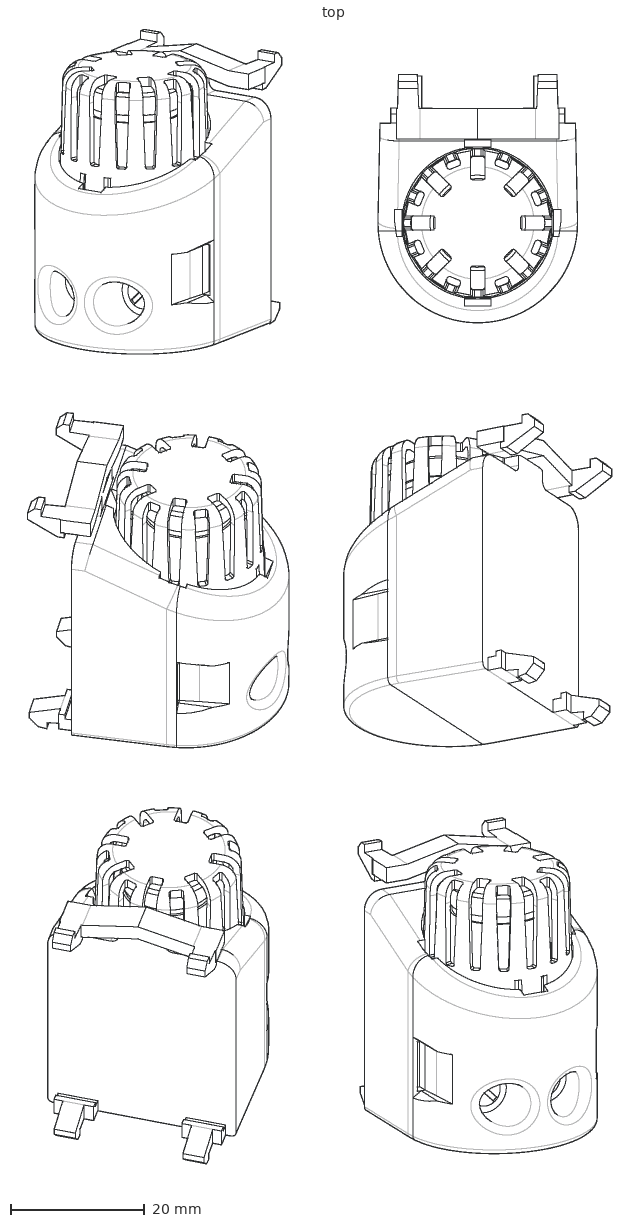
import cadquery as cq
import math


FRONT_RADIUS = 14.95
REAR_Y = 14.95
SIDE_DRAFT = 1.2
SEAM_Y = -1.2
BOTTOM_REAR_Z = 1.35
BOTTOM_FRONT_Z = 2.15
BOTTOM_ROUND = 0.85
RIM_REAR_Z = 36.3
CREASE_Y = 12.25
TOP_ANGLE = 21.7
TOP_ROUND = 2.9

REACH = 42.85

CAP_TOP_Z = 42.85
CAP_BOTTOM_Z = 21.42
CAP_SKIRT_RADIUS = 11.35
CAP_TOP_RADIUS = 10.75
CAP_ROUND = 2.4
CAP_WALL = 1.05
CAP_ROOF = 1.4
CAGE_BOTTOM_Z = 29.9
SLOT_COUNT = 16
LONG_SLOT_INNER = 6.43
SHORT_SLOT_INNER = 9.0
SLOT_BOTTOM_WIDTH = 1.55
SLOT_TOP_WIDTH = 2.15
SLOT_STRAIGHT_Z = 39.42
SLOT_CORNER = 0.25
TONGUE_WIDTH = 3.35
TONGUE_SLIT = 1.03
TONGUE_TOP_Z = 28.35

NOTCH_WIDTH = 4.03
NOTCH_RADIUS = 12.43
NOTCH_DEPTH = 3.0

SENSOR_RADIUS = 7.15
SENSOR_TOP_Z = 40.5
SENSOR_CHAMFER = 0.5
GROOVE_BOTTOM_Z = 36.0
GROOVE_TOP_Z = 37.15
GROOVE_DEPTH = 0.35

SCREW_SLOT_ANGLE = 45
SCREW_X = 5.05
SCREW_Z = 9.73
SCREW_RADIUS = 2.4
SCREW_LENGTH = 3.43
SCREW_FACE_Y = -6.0
SCREW_SLOT_WIDTH = 0.75
SCREW_SLOT_DEPTH = 0.43
TERMINAL_RADIUS = 3.43
ACCESS_MOUTH_ROUND = 1.03

WINDOW_BOTTOM_Z = 9.65
WINDOW_TOP_Z = 17.5
WINDOW_FLARE = 0.95
WINDOW_FLARE_X = 13.5
WINDOW_FRONT_X = 12.13
WINDOW_FRONT_Y = -8.83
WINDOW_BEND_X = 12.5
WINDOW_BEND_Y = -4.2
POCKET_INNER_X = 12.85
POCKET_OUTER_X = 14.15
POCKET_END_Y = 0.5

BAR_FRONT_Y = 12.55
BAR_REAR_Y = 17.15
BAR_HALF = 12.15
BAR_FLAT_X = 8.6
BAR_END_TOP_Z = 40.5
BAR_APEX_TOP_Z = 42.3
BAR_HEIGHT = 2.45
STEM_HALF = 3.65
STEM_ROUND = 1.2
HOOK_TIP_INNER_X = 9.05
HOOK_TIP_OUTER_X = 11.85
HOOK_TIP_Y = 22.25
HOOK_TIP_LOW_Z = 39.55
HOOK_TIP_HIGH_Z = 40.75
HOOK_CREST_Z = 41.8
HOOK_CREST_FRONT_Y = 20.15
HOOK_CREST_REAR_Y = 21.15
HOOK_HEEL_Z = 37.05
HOOK_HEEL_FRONT_Y = 16.6
HOOK_HEEL_REAR_Y = 17.6

FOOT_INNER_X = 8.35
FOOT_OUTER_X = 11.65
FOOT_BLOCK_INNER_X = 6.85
FOOT_BLOCK_OUTER_X = 13.03
FOOT_BLOCK_Y = 17.23
FOOT_BLOCK_BOTTOM_Z = 1.35
FOOT_STEP_Y = 16.3
FOOT_STEP_Z = 3.43
FOOT_LIP_Z = 4.2
FOOT_CATCH_Y = 19.33
FOOT_CATCH_TOP_Z = 1.15
FOOT_TOE_Y = 20.65
FOOT_TOE_Z = 0.2
FOOT_TIP_Y = 22.02
FOOT_TIP_LOW_Z = 1.65
FOOT_TIP_HIGH_Z = 2.7


def rim_z(y):
    """Height of the sloped top at a place along Y."""
    return RIM_REAR_Z - (CREASE_Y - y) * math.tan(math.radians(TOP_ANGLE))


def cylinder(radius, bottom, top):
    return cq.Workplane("XY").workplane(offset=bottom).circle(radius).extrude(top - bottom)


def side_profile(points, x_start, x_end):
    """Extrude an outline of (Y, Z) points along X."""
    return cq.Workplane("YZ").workplane(offset=x_start).polyline(points).close().extrude(x_end - x_start)


def both_sides(shape):
    return shape.union(shape.mirror("YZ"))



def housing_blank():
    """Outside of base and cover together, before it is divided at the seam."""
    draft = math.radians(SIDE_DRAFT)
    tangent_x = FRONT_RADIUS * math.cos(draft)
    tangent_y = FRONT_RADIUS * math.sin(draft)
    rear_x = (FRONT_RADIUS - REAR_Y * math.sin(draft)) / math.cos(draft)
    plan = (
        cq.Workplane("XY")
        .moveTo(-rear_x, REAR_Y)
        .lineTo(-tangent_x, tangent_y)
        .threePointArc((0, -FRONT_RADIUS), (tangent_x, tangent_y))
        .lineTo(rear_x, REAR_Y)
        .close()
        .extrude(CAP_TOP_Z)
    )
    profile = [
        (REAR_Y, BOTTOM_REAR_Z),
        (REAR_Y, RIM_REAR_Z),
        (CREASE_Y, RIM_REAR_Z),
        (-FRONT_RADIUS, rim_z(-FRONT_RADIUS)),
        (-FRONT_RADIUS, BOTTOM_FRONT_Z),
    ]
    blank = plan.intersect(side_profile(profile, -FRONT_RADIUS, FRONT_RADIUS))
    above_half = cq.selectors.BoxSelector((-REACH, -REACH, CAP_TOP_Z / 2), (REACH, REACH, CAP_TOP_Z))
    blank = blank.faces(above_half).edges("not |X").fillet(TOP_ROUND)
    return blank.faces("<Z").edges("not |X").fillet(BOTTOM_ROUND)


def cap_bore():
    """Round hole for the cap, with four notches that have a sloping outer wall."""
    bore = cylinder(CAP_SKIRT_RADIUS, CAP_BOTTOM_Z, CAP_TOP_Z)
    for angle in range(0, 360, 90):
        lip_z = rim_z(NOTCH_RADIUS * math.sin(math.radians(angle)))
        outline = [
            (0, lip_z - NOTCH_DEPTH),
            (CAP_SKIRT_RADIUS, lip_z - NOTCH_DEPTH),
            (NOTCH_RADIUS, lip_z),
            (NOTCH_RADIUS, CAP_TOP_Z),
            (0, CAP_TOP_Z),
        ]
        notch = cq.Workplane("XZ").polyline(outline).close().extrude(NOTCH_WIDTH / 2, both=True)
        bore = bore.union(notch.rotate((0, 0, 0), (0, 0, 1), angle))
    return bore


def half_space(y_start, y_end):
    """Wide block between two places along Y."""
    return (
        cq.Workplane("XY")
        .box(2 * REACH, y_end - y_start, 2 * REACH, centered=(True, False, True))
        .translate((0, y_start, 0))
    )



def window_cut():
    """Side window at -X: its walls flare outwards and its floor bends once."""
    section = [
        (-WINDOW_FRONT_X, WINDOW_BOTTOM_Z),
        (-WINDOW_FLARE_X, WINDOW_BOTTOM_Z),
        (-FRONT_RADIUS, WINDOW_BOTTOM_Z - WINDOW_FLARE),
        (-FRONT_RADIUS, WINDOW_TOP_Z + WINDOW_FLARE),
        (-WINDOW_FLARE_X, WINDOW_TOP_Z),
        (-WINDOW_FRONT_X, WINDOW_TOP_Z),
    ]
    floor = [
        (-FRONT_RADIUS, SEAM_Y),
        (-POCKET_INNER_X, SEAM_Y),
        (-WINDOW_BEND_X, WINDOW_BEND_Y),
        (-WINDOW_FRONT_X, WINDOW_FRONT_Y),
        (-FRONT_RADIUS, WINDOW_FRONT_Y),
    ]
    walls = cq.Workplane("XZ").polyline(section).close().extrude(FRONT_RADIUS)
    return walls.intersect(cq.Workplane("XY").polyline(floor).close().extrude(CAP_TOP_Z))


def access_bore(side):
    """Hole through which one screw terminal is reached."""
    depth = SCREW_FACE_Y + SCREW_LENGTH + FRONT_RADIUS
    return (
        cq.Workplane("XZ", origin=(side * SCREW_X, -FRONT_RADIUS, SCREW_Z))
        .circle(TERMINAL_RADIUS)
        .extrude(-depth)
    )


def make_cover(blank):
    cover = blank.intersect(half_space(-REACH, SEAM_Y))
    for side in (-1, 1):
        cover = cover.cut(access_bore(side))
    mouths = cq.selectors.BoxSelector(
        (-REACH, -REACH, 0), (REACH, SCREW_FACE_Y, 2 * SCREW_Z), boundingbox=True
    )
    cover = cover.edges(mouths).fillet(ACCESS_MOUTH_ROUND)
    return cover.cut(cap_bore()).cut(both_sides(window_cut()))



def window_pocket():
    """Slot in the seam face of the base that carries on the window floor at -X."""
    return (
        cq.Workplane("XY")
        .box(
            POCKET_OUTER_X - POCKET_INNER_X,
            POCKET_END_Y - SEAM_Y,
            WINDOW_TOP_Z - WINDOW_BOTTOM_Z,
            centered=False,
        )
        .translate((-POCKET_OUTER_X, SEAM_Y, WINDOW_BOTTOM_Z))
    )


def hanger_bar():
    """Chevron bar above the rear edge, carried by a stem with flared sides."""
    upper = [
        (-BAR_HALF, BAR_END_TOP_Z),
        (-BAR_FLAT_X, BAR_END_TOP_Z),
        (0, BAR_APEX_TOP_Z),
        (BAR_FLAT_X, BAR_END_TOP_Z),
        (BAR_HALF, BAR_END_TOP_Z),
    ]
    lower = [(x, z - BAR_HEIGHT) for x, z in reversed(upper)]
    bar = (
        cq.Workplane("XZ", origin=(0, BAR_REAR_Y, 0))
        .polyline(upper + lower)
        .close()
        .extrude(BAR_REAR_Y - BAR_FRONT_Y)
    )
    flare_end = STEM_HALF + STEM_ROUND
    stem = (
        cq.Workplane("XZ", origin=(0, REAR_Y, 0))
        .moveTo(-flare_end, RIM_REAR_Z)
        .radiusArc((-STEM_HALF, RIM_REAR_Z + STEM_ROUND), -STEM_ROUND)
        .lineTo(-STEM_HALF, BAR_END_TOP_Z - BAR_HEIGHT / 2)
        .lineTo(STEM_HALF, BAR_END_TOP_Z - BAR_HEIGHT / 2)
        .lineTo(STEM_HALF, RIM_REAR_Z + STEM_ROUND)
        .radiusArc((flare_end, RIM_REAR_Z), -STEM_ROUND)
        .close()
        .extrude(REAR_Y - BAR_FRONT_Y)
    )
    return bar.union(stem)


def upper_hook():
    """Hook at -X behind the bar, narrowing towards its tip."""
    outline = [
        (BAR_FRONT_Y, BAR_END_TOP_Z),
        (HOOK_CREST_FRONT_Y, BAR_END_TOP_Z),
        (HOOK_CREST_FRONT_Y, HOOK_CREST_Z),
        (HOOK_CREST_REAR_Y, HOOK_CREST_Z),
        (HOOK_TIP_Y, HOOK_TIP_HIGH_Z),
        (HOOK_TIP_Y, HOOK_TIP_LOW_Z),
        (HOOK_HEEL_REAR_Y, HOOK_HEEL_Z),
        (HOOK_HEEL_FRONT_Y, HOOK_HEEL_Z),
        (HOOK_HEEL_FRONT_Y, BAR_END_TOP_Z - BAR_HEIGHT),
        (BAR_FRONT_Y, BAR_END_TOP_Z - BAR_HEIGHT),
    ]
    plan = [
        (-BAR_HALF, BAR_FRONT_Y),
        (-BAR_FLAT_X, BAR_FRONT_Y),
        (-HOOK_TIP_INNER_X, HOOK_TIP_Y),
        (-HOOK_TIP_OUTER_X, HOOK_TIP_Y),
    ]
    arm = side_profile(outline, -BAR_HALF, 0)
    return arm.intersect(cq.Workplane("XY").polyline(plan).close().extrude(CAP_TOP_Z))


def foot():
    """Foot at -X: a wide block on the rear face and a narrow hook behind it."""
    block = [
        (REAR_Y, BOTTOM_REAR_Z),
        (FOOT_BLOCK_Y, FOOT_BLOCK_BOTTOM_Z),
        (FOOT_BLOCK_Y, FOOT_LIP_Z),
        (FOOT_STEP_Y, FOOT_LIP_Z),
        (FOOT_STEP_Y, FOOT_STEP_Z),
        (REAR_Y, FOOT_STEP_Z),
    ]
    hook = [
        (FOOT_BLOCK_Y, FOOT_BLOCK_BOTTOM_Z),
        (FOOT_CATCH_Y, FOOT_CATCH_TOP_Z),
        (FOOT_CATCH_Y, 0),
        (FOOT_TOE_Y, FOOT_TOE_Z),
        (FOOT_TIP_Y, FOOT_TIP_LOW_Z),
        (FOOT_TIP_Y, FOOT_TIP_HIGH_Z),
        (FOOT_BLOCK_Y, FOOT_LIP_Z),
    ]
    wide = side_profile(block, -FOOT_BLOCK_OUTER_X, -FOOT_BLOCK_INNER_X)
    return wide.union(side_profile(hook, -FOOT_OUTER_X, -FOOT_INNER_X))


def make_base(blank):
    base = blank.intersect(half_space(SEAM_Y, REACH))
    base = base.cut(cap_bore()).cut(both_sides(window_pocket()))
    return base.union(hanger_bar()).union(both_sides(upper_hook())).union(both_sides(foot()))



def vent_slot(inner_radius):
    """Cutter along +X: narrow at the bottom, with corners broken at the bottom and inner end."""
    low = SLOT_BOTTOM_WIDTH / 2
    high = SLOT_TOP_WIDTH / 2
    outline = [
        (-low + SLOT_CORNER, CAGE_BOTTOM_Z),
        (low - SLOT_CORNER, CAGE_BOTTOM_Z),
        (low, CAGE_BOTTOM_Z + SLOT_CORNER),
        (high, SLOT_STRAIGHT_Z),
        (high, CAP_TOP_Z),
        (-high, CAP_TOP_Z),
        (-high, SLOT_STRAIGHT_Z),
        (-low, CAGE_BOTTOM_Z + SLOT_CORNER),
    ]
    cutter = (
        cq.Workplane("YZ", origin=(inner_radius, 0, 0))
        .polyline(outline)
        .close()
        .extrude(CAP_SKIRT_RADIUS)
    )
    return cutter.faces("<X").edges("|Z").chamfer(SLOT_CORNER)


def make_cap():
    shell = (
        cq.Workplane("XZ")
        .moveTo(0, CAP_BOTTOM_Z)
        .lineTo(CAP_SKIRT_RADIUS, CAP_BOTTOM_Z)
        .lineTo(CAP_TOP_RADIUS, CAP_TOP_Z)
        .lineTo(0, CAP_TOP_Z)
        .close()
        .revolve(360, (0, 0), (0, 1))
        .edges(">Z")
        .fillet(CAP_ROUND)
    )
    inside = (
        cq.Workplane("XZ")
        .moveTo(0, CAP_BOTTOM_Z)
        .lineTo(CAP_SKIRT_RADIUS - CAP_WALL, CAP_BOTTOM_Z)
        .lineTo(CAP_TOP_RADIUS - CAP_WALL, CAP_TOP_Z - CAP_ROOF)
        .lineTo(0, CAP_TOP_Z - CAP_ROOF)
        .close()
        .revolve(360, (0, 0), (0, 1))
        .edges(">Z")
        .fillet(CAP_ROUND - CAP_WALL)
    )
    cap = shell.cut(inside)
    for index in range(SLOT_COUNT):
        inner_radius = SHORT_SLOT_INNER if index % 2 else LONG_SLOT_INNER
        slot = vent_slot(inner_radius)
        cap = cap.cut(slot.rotate((0, 0, 0), (0, 0, 1), index * 360 / SLOT_COUNT))
    slit = (
        cq.Workplane("XY", origin=(0, 0, CAP_BOTTOM_Z))
        .pushPoints([(CAP_SKIRT_RADIUS, side * (TONGUE_WIDTH + TONGUE_SLIT) / 2) for side in (-1, 1)])
        .rect(3 * CAP_WALL, TONGUE_SLIT)
        .extrude(TONGUE_TOP_Z - CAP_BOTTOM_Z)
    )
    for angle in range(0, 360, 90):
        cap = cap.cut(slit.rotate((0, 0, 0), (0, 0, 1), angle))
    return cap



def make_sensor():
    """Round block on the floor of the cap bore, with one groove around it."""
    sensor = cylinder(SENSOR_RADIUS, CAP_BOTTOM_Z, SENSOR_TOP_Z).faces(">Z").chamfer(SENSOR_CHAMFER)
    groove = cylinder(SENSOR_RADIUS, GROOVE_BOTTOM_Z, GROOVE_TOP_Z).cut(
        cylinder(SENSOR_RADIUS - GROOVE_DEPTH, GROOVE_BOTTOM_Z, GROOVE_TOP_Z)
    )
    return sensor.cut(groove)



def make_screw(side):
    """Screw with a slanted slot; the two slots mirror each other."""
    place = (side * SCREW_X, SCREW_FACE_Y, SCREW_Z)
    slot = (
        cq.Workplane("XZ", origin=place)
        .transformed(rotate=(0, 0, side * SCREW_SLOT_ANGLE))
        .rect(2 * TERMINAL_RADIUS, SCREW_SLOT_WIDTH)
        .extrude(-SCREW_SLOT_DEPTH)
    )
    return cq.Workplane("XZ", origin=place).circle(SCREW_RADIUS).extrude(-SCREW_LENGTH).cut(slot)


def make_terminal(side):
    """Sleeve that fills the access bore around one screw."""
    return (
        cq.Workplane("XZ", origin=(side * SCREW_X, SCREW_FACE_Y, SCREW_Z))
        .circle(TERMINAL_RADIUS)
        .circle(SCREW_RADIUS)
        .extrude(-SCREW_LENGTH)
    )


housing = housing_blank()
base = make_base(housing)
cover = make_cover(housing)
cap = make_cap()
sensor = make_sensor()
screws = [make_screw(side) for side in (-1, 1)]
terminals = [make_terminal(side) for side in (-1, 1)]

result = cq.Compound.makeCompound(
    [
        base.val(),
        cover.val(),
        cap.val(),
        sensor.val(),
        *[screw.val() for screw in screws],
        *[terminal.val() for terminal in terminals],
    ]
)